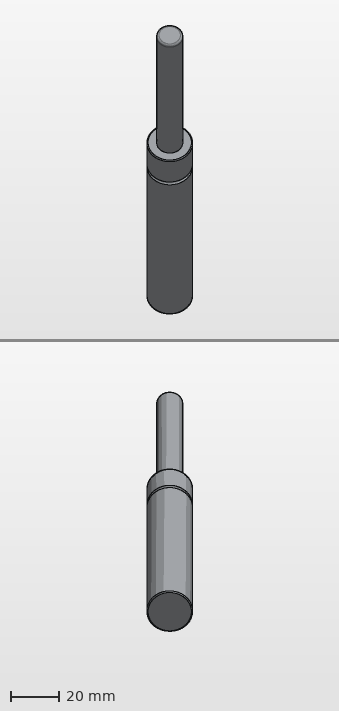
import cadquery as cq

total_length = 185.0
body_diameter = 19.0
body_length = 109.0
body_chamfer = 0.5
rod_diameter = 11.0
rod_fillet = 1.0
groove_radius = 1.0
groove_height = 93.0

body_radius = body_diameter / 2


def make_body():
    """Cylinder standing on the origin, with both rims chamfered."""
    body = cq.Workplane("XY").circle(body_radius).extrude(body_length)
    return body.faces("<Z or >Z").chamfer(body_chamfer)


def make_rod():
    """Thinner rod rising from the top of the body, with a rounded tip edge."""
    rod = (
        cq.Workplane("XY")
        .workplane(offset=body_length)
        .circle(rod_diameter / 2)
        .extrude(total_length - body_length)
    )
    return rod.faces(">Z").edges().fillet(rod_fillet)


def make_groove_cutter():
    """Ring of round section, centred on the body surface."""
    return (
        cq.Workplane("XZ")
        .center(body_radius, groove_height)
        .circle(groove_radius)
        .revolve(360, (-body_radius, 0, 0), (-body_radius, 1, 0))
    )


result = make_body().cut(make_groove_cutter()).union(make_rod())